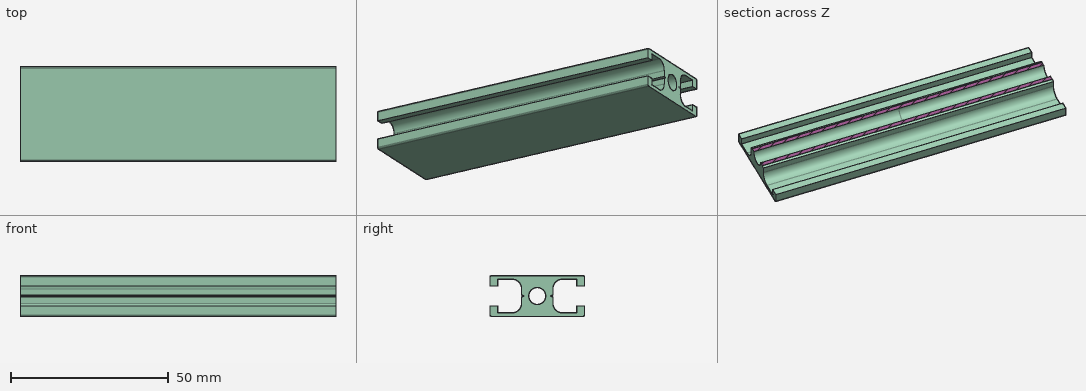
import cadquery as cq

length = 100.0
width = 30.0
height = 13.0

flange_thickness = 1.2
lip_thickness = 2.5
slot_opening = 6.2
web_width = 10.0
cavity_radius = 3.0
bore_diameter = 5.3
groove_width = 0.6
groove_depth = 0.8
corner_radius = 0.5

cavity_height = height - 2 * flange_thickness
web_face = web_width / 2
slot_depth = width / 2 - web_face
cavity_depth = slot_depth - lip_thickness


def bar(depth, bar_height, start_y):
    """Full-length rectangular bar reaching from start_y towards +Y."""
    return cq.Workplane("XY").box(length, depth, bar_height).translate((0, start_y + depth / 2, 0))


def extrude_along_part(outline):
    """Extrude a YZ outline over the full length."""
    return outline.extrude(length / 2, both=True)


def t_slot():
    """Cutter for the +Y slot: rounded cavity, mouth and V groove in the web face."""
    cavity = bar(cavity_depth, cavity_height, web_face).edges("|X and <Y").fillet(cavity_radius)
    mouth = bar(slot_depth - cavity_radius, slot_opening, web_face + cavity_radius)
    groove = extrude_along_part(
        cq.Workplane("YZ")
        .moveTo(web_face, groove_width / 2)
        .lineTo(web_face - groove_depth, 0)
        .lineTo(web_face, -groove_width / 2)
        .close()
    )
    return cavity.union(mouth).union(groove)


result = bar(width, height, -width / 2).edges("|X").fillet(corner_radius)

slot = t_slot()
result = result.cut(slot).cut(slot.mirror("XZ"))

bore = extrude_along_part(cq.Workplane("YZ").circle(bore_diameter / 2))
result = result.cut(bore)